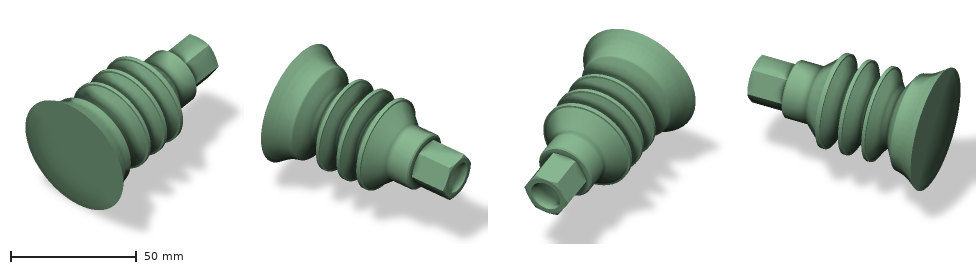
import cadquery as cq
import math

lip_radius = 25.5
lip_bend_radius = 23.0
flare_middle_radius = 21.1
shoulder_radius = 20.15
shoulder_edge_radius = 19.7
lower_neck_side_radius = 13.7
lower_neck_radius = 12.7
ring_radius = 39.3 / 2
cone_rim_radius = 18.75
collar_radius = 24.0 / 2
neck_radius = 11.8
bore_radius = 13.0 / 2

lip_bend_y = 3.5
flare_middle_y = 7.2
shoulder_y = 10.9
shoulder_edge_y = 11.4
lower_neck_start_y = 15.2
lower_neck_end_y = 18.5
collar_start_y = 51.9
collar_end_y = 61.5
total_length = 77.5

lower_ring = (22.4, 23.8, 26.4, 27.35)
middle_ring = (32.3, 33.9, 36.2, 37.0)
upper_ring_bottom = 41.85
upper_ring_top = 43.6
upper_cone_end_y = 51.0
upper_cone_end_radius = 12.25

shoulder_bulge = 0.04
collar_root_sag = 0.06

collar_chamfer = 0.55
hex_across_corners = 20.0
hex_chamfer = 0.6
hex_across_flats = hex_across_corners * math.cos(math.pi / 6)
bore_depth = 15.5


def add_ring_and_neck(profile, ring):
    """Continue the profile around one bellows ring and the neck above it."""
    bottom, top, neck_start, neck_end = ring
    return (
        profile.lineTo(cone_rim_radius, bottom)
        .lineTo(ring_radius, bottom)
        .lineTo(ring_radius, top)
        .lineTo(cone_rim_radius, top)
        .lineTo(collar_radius, neck_start)
        .threePointArc((neck_radius, (neck_start + neck_end) / 2), (collar_radius, neck_end))
    )


def make_bellows():
    """Suction lip, two bellows rings, upper cone and collar, as one revolved body."""
    lower_neck_middle_y = (lower_neck_start_y + lower_neck_end_y) / 2
    profile = (
        cq.Workplane("XY")
        .lineTo(lip_radius, 0)
        .lineTo(lip_bend_radius, lip_bend_y)
        .threePointArc((flare_middle_radius, flare_middle_y), (shoulder_radius, shoulder_y))
        .sagittaArc((shoulder_edge_radius, shoulder_edge_y), -shoulder_bulge)
        .lineTo(lower_neck_side_radius, lower_neck_start_y)
        .threePointArc(
            (lower_neck_radius, lower_neck_middle_y), (lower_neck_side_radius, lower_neck_end_y)
        )
    )
    for ring in (lower_ring, middle_ring):
        profile = add_ring_and_neck(profile, ring)
    profile = (
        profile.lineTo(cone_rim_radius, upper_ring_bottom)
        .lineTo(ring_radius, upper_ring_bottom)
        .lineTo(ring_radius, upper_ring_top)
        .lineTo(cone_rim_radius, upper_ring_top)
        .lineTo(upper_cone_end_radius, upper_cone_end_y)
        .sagittaArc((collar_radius, collar_start_y), collar_root_sag)
        .lineTo(collar_radius, collar_end_y - collar_chamfer)
        .lineTo(collar_radius - collar_chamfer, collar_end_y)
        .lineTo(0, collar_end_y)
        .close()
    )
    return profile.revolve(360, (0, 0, 0), (0, 1, 0))


def make_hex_fitting():
    """Hexagon with two corners on X and conical chamfers at both ends."""
    length = total_length - collar_end_y
    corner_radius = hex_across_corners / 2
    end_plane = cq.Plane(origin=(0, collar_end_y, 0), xDir=(1, 0, 0), normal=(0, 1, 0))
    hexagon = cq.Workplane(end_plane).polygon(6, hex_across_corners).extrude(length)
    chamfer_width = corner_radius - hex_across_flats / 2
    turned = (
        cq.Workplane(end_plane)
        .circle(corner_radius)
        .extrude(length)
        .faces("<Y or >Y")
        .edges()
        .chamfer(hex_chamfer, chamfer_width)
    )
    return hexagon.intersect(turned)


def make_bore():
    """Blind connection bore in the free end of the hexagon."""
    mouth = cq.Plane(origin=(0, total_length, 0), xDir=(1, 0, 0), normal=(0, -1, 0))
    return cq.Workplane(mouth).circle(bore_radius).extrude(bore_depth)


result = make_bellows().union(make_hex_fitting()).cut(make_bore())